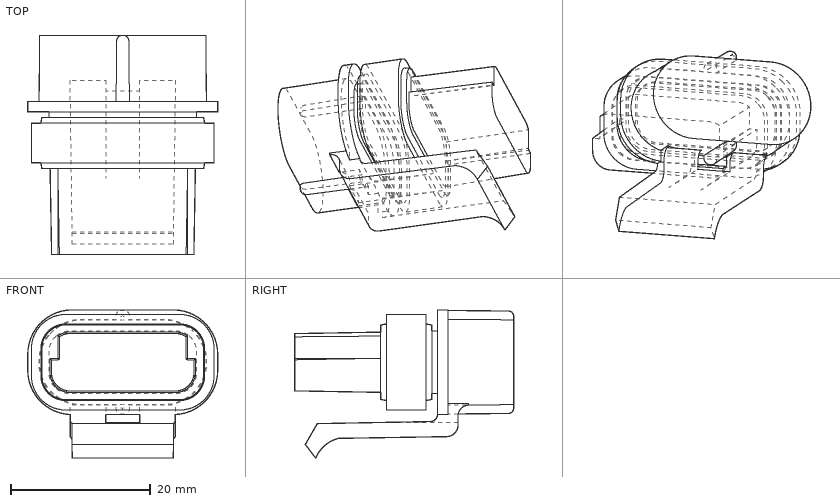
import cadquery as cq
import math

COS_45 = math.sqrt(0.5)


nose_face = 0.0
seal_end = 12.35
flange_front = 20.5
flange_back = 22.02
shell_back = 31.5
neck_length = 0.8
collar_length = 0.82
collar_back = flange_front - neck_length
seal_front = seal_end + collar_length
seal_back = collar_back - collar_length

flange_width, flange_height, flange_flat_z = 27.35, 15.1, 2.27
flange_radius = (flange_height - flange_flat_z) / 2
flange_flat_x = flange_width - 2 * flange_radius
neck_flat_x, neck_flat_z, neck_radius = 15.18, 2.95, 3.02
seal_flat_x, seal_flat_z = 16.38, 3.85
seal_radius = 4.95
collar_radius = 3.6
collar_taper = 10.0
shell_flat_x, shell_radius = 11.8, 6.17
shell_taper = 0.5

nose_radius = 2.87
nose_taper = 1.0
key_half_width = 9.32
key_step_z = 0.57

rib_width = 1.92
rib_top = 7.45
rib_radius = 0.82
rib_end_radius = 0.8
rib_taper = 0.6

latch_root_width = 15.18
latch_tip_width = 14.5
latch_droop = 1.0
leg_back = 23.5
leg_root_radius = 1.5
leg_embed = 3.45
leg_heel_radius = 1.7
arm_top = -8.5
arm_thickness = 2.2
arm_root_radius = -arm_top - flange_height / 2
arm_top_end = 3.25
arm_bottom_end = 6.27
lip_corner = (1.5, -11.8)
lip_tip = (3.02, -13.8)
lip_curve_mid = (4.55, -11.8)
window_width = 4.88
window_bottom = -8.65


def plane_facing_front(y):
    return cq.Workplane("XZ", origin=(0, y, 0))


def plane_facing_back(y):
    return cq.Workplane(cq.Plane(origin=(0, y, 0), xDir=(-1, 0, 0), normal=(0, 1, 0)))


def rounded_block(plane, flat_x, flat_z, radius, length, taper=0.0):
    """Prism with rounded corners, drawn in by the taper angle along its length."""
    outline = cq.Sketch().rect(flat_x + 2 * radius, flat_z + 2 * radius).vertices().fillet(radius)
    return plane.placeSketch(outline).extrude(length, taper=taper)


def make_seal():
    """Sealing ring with a short tapered collar at each end."""
    ring = rounded_block(plane_facing_back(seal_front), seal_flat_x, seal_flat_z, seal_radius,
                         seal_back - seal_front)
    for plane in (plane_facing_front(seal_front), plane_facing_back(seal_back)):
        ring = ring.union(rounded_block(plane, seal_flat_x, seal_flat_z, collar_radius,
                                        collar_length, collar_taper))
    return ring


def make_nose():
    """Rounded nose with a step cut out of both upper corners."""
    flat_half_x = neck_flat_x / 2
    flat_half_z = neck_flat_z / 2
    side_x = flat_half_x + nose_radius
    top_z = flat_half_z + nose_radius
    diagonal = nose_radius * COS_45

    def point_on_upper_arc(x):
        return x, flat_half_z + math.sqrt(nose_radius**2 - (x - flat_half_x)**2)

    key_corner = point_on_upper_arc(key_half_width)
    upper_mid = point_on_upper_arc((flat_half_x + key_half_width) / 2)
    lower_mid = (flat_half_x + diagonal, -flat_half_z - diagonal)
    return (
        plane_facing_front(seal_end)
        .moveTo(-flat_half_x, top_z)
        .lineTo(flat_half_x, top_z)
        .threePointArc(upper_mid, key_corner)
        .lineTo(key_half_width, key_step_z)
        .lineTo(side_x, key_step_z)
        .lineTo(side_x, -flat_half_z)
        .threePointArc(lower_mid, (flat_half_x, -top_z))
        .lineTo(-flat_half_x, -top_z)
        .threePointArc((-lower_mid[0], lower_mid[1]), (-side_x, -flat_half_z))
        .lineTo(-side_x, key_step_z)
        .lineTo(-key_half_width, key_step_z)
        .lineTo(-key_half_width, key_corner[1])
        .threePointArc((-upper_mid[0], upper_mid[1]), (-flat_half_x, top_z))
        .close()
        .extrude(seal_end - nose_face, taper=nose_taper)
    )


def make_ribs():
    """One bar through the shell whose rounded edges stand out as the upper and lower rib."""
    return (
        plane_facing_back(flange_back)
        .rect(rib_width, 2 * rib_top)
        .extrude(shell_back - flange_back, taper=rib_taper)
        .edges("not(|X or |Z)")
        .fillet(rib_radius)
        .faces(">Y").edges()
        .fillet(rib_end_radius)
    )


def make_latch():
    """Bent latch: a leg below the shell and a drooping arm ending in a lip."""
    slope = math.tan(math.radians(latch_droop))
    arm_bottom = arm_top - arm_thickness
    arm_top_z = arm_top - slope * (flange_front - arm_top_end)
    arm_bottom_z = arm_bottom - slope * (flange_front - arm_bottom_end)
    leg_end = leg_back + leg_root_radius
    root_z = -shell_radius
    inside_shell = root_z + leg_embed
    root_mid = (leg_back + leg_root_radius * (1 - COS_45), root_z - leg_root_radius * (1 - COS_45))
    heel_mid = (leg_back - leg_heel_radius * (1 - COS_45), arm_bottom + leg_heel_radius * (1 - COS_45))
    arm_mid = (flange_front - arm_root_radius * (1 - COS_45), arm_top + arm_root_radius * (1 - COS_45))
    profile = (
        cq.Workplane("YZ")
        .moveTo(flange_front, inside_shell)
        .lineTo(leg_end, inside_shell)
        .lineTo(leg_end, root_z)
        .threePointArc(root_mid, (leg_back, root_z - leg_root_radius))
        .lineTo(leg_back, arm_bottom + leg_heel_radius)
        .threePointArc(heel_mid, (leg_back - leg_heel_radius, arm_bottom))
        .lineTo(arm_bottom_end, arm_bottom_z)
        .threePointArc(lip_curve_mid, lip_tip)
        .lineTo(*lip_corner)
        .lineTo(arm_top_end, arm_top_z)
        .lineTo(flange_front - arm_root_radius, arm_top)
        .threePointArc(arm_mid, (flange_front, arm_top + arm_root_radius))
        .close()
        .extrude(latch_root_width / 2, both=True)
    )
    plan = (
        cq.Workplane("XY")
        .polyline([(-latch_tip_width / 2, nose_face), (latch_tip_width / 2, nose_face),
                   (latch_root_width / 2, leg_end), (-latch_root_width / 2, leg_end)])
        .close()
        .extrude(shell_back, both=True)
    )
    window = (
        cq.Workplane("XZ")
        .rect(window_width, 2 * -window_bottom)
        .extrude(-shell_back)
    )
    return profile.intersect(plan).cut(window)


flange = rounded_block(plane_facing_back(flange_front), flange_flat_x, flange_flat_z, flange_radius,
                       flange_back - flange_front)
neck = rounded_block(plane_facing_back(collar_back), neck_flat_x, neck_flat_z, neck_radius, neck_length)
shell = (
    plane_facing_back(flange_back)
    .slot2D(shell_flat_x + 2 * shell_radius, 2 * shell_radius)
    .extrude(shell_back - flange_back, taper=shell_taper)
)

result = flange
for piece in (neck, make_seal(), make_nose(), shell, make_ribs(), make_latch()):
    result = result.union(piece)